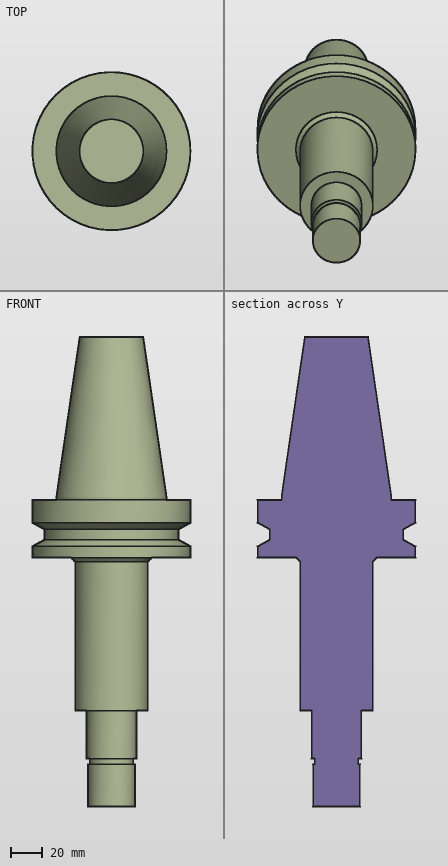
import cadquery as cq

total_height = 296.8
tip_top = 26.7
relief_top = 30.3
spigot_top = 60.5
flange_bottom = 157.3
flange_top = 193.8
taper_bottom = 195.5

tip_diameter = 30.0
relief_diameter = 27.5
spigot_diameter = 31.8
body_diameter = 46.0
flange_diameter = 100.0
groove_diameter = 85.0
taper_diameter = 69.7

taper_ratio = 7 / 24
taper_end_diameter = taper_diameter - taper_ratio * (total_height - taper_bottom)

collar_size = 2.7

lower_rim_height = 7.0
groove_flank_height = 4.2
groove_floor_height = 6.5
groove_bottom = flange_bottom + lower_rim_height
groove_floor_bottom = groove_bottom + groove_flank_height
groove_floor_top = groove_floor_bottom + groove_floor_height
groove_top = groove_floor_top + groove_flank_height


def cone_section(bottom, top, bottom_diameter, top_diameter):
    """Solid of revolution about Z with straight sides between two heights."""
    profile = [
        (0, bottom),
        (bottom_diameter / 2, bottom),
        (top_diameter / 2, top),
        (0, top),
    ]
    return cq.Workplane("XZ").polyline(profile).close().revolve(360, (0, 0), (0, 1))


def cylinder_section(bottom, top, diameter):
    """Cylinder on the Z axis between two heights."""
    return cone_section(bottom, top, diameter, diameter)


def make_shank():
    """Stepped lower end: tip, relief, spigot, body and conical collar."""
    collar_bottom = flange_bottom - collar_size
    collar_diameter = body_diameter + 2 * collar_size
    return (
        cylinder_section(0, tip_top, tip_diameter)
        .union(cylinder_section(tip_top, relief_top, relief_diameter))
        .union(cylinder_section(relief_top, spigot_top, spigot_diameter))
        .union(cylinder_section(spigot_top, collar_bottom, body_diameter))
        .union(cone_section(collar_bottom, flange_bottom, body_diameter, collar_diameter))
    )


def make_flange():
    """Two rims separated by the gripper groove."""
    return (
        cylinder_section(flange_bottom, groove_bottom, flange_diameter)
        .union(cone_section(groove_bottom, groove_floor_bottom, flange_diameter, groove_diameter))
        .union(cylinder_section(groove_floor_bottom, groove_floor_top, groove_diameter))
        .union(cone_section(groove_floor_top, groove_top, groove_diameter, flange_diameter))
        .union(cylinder_section(groove_top, flange_top, flange_diameter))
    )


def make_taper():
    """Short cylindrical neck under the steep spindle taper."""
    neck = cylinder_section(flange_top, taper_bottom, taper_diameter)
    return neck.union(cone_section(taper_bottom, total_height, taper_diameter, taper_end_diameter))


result = make_shank().union(make_flange()).union(make_taper())